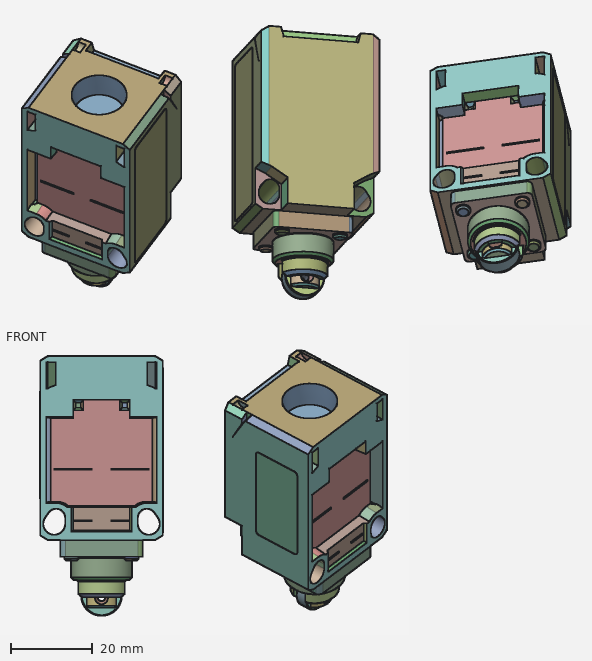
import cadquery as cq
import math


WIDTH = 30.0
DEPTH = 27.0
HEIGHT = 45.0
CORNER_RUN = 1.9
CORNER_RISE = 1.15
REAR_CHAMFER_X = 1.8
REAR_CHAMFER_Y = 0.5

PLATE_THICKNESS = 0.1
PLATE_RADIUS = 1.0
LEFT_PLATE = (3.4, 16.6, 10.2, 36.2)
RIGHT_PLATE = (2.5, 18.7, 1.9, 42.0)

RECESS_DEPTH = 3.2
RECESS_HALF_WIDTH = 13.45
RECESS_TOP = 30.2
RECESS_DRAFT = 7.0
FLOOR_GROOVE_RADIUS = 1.0
CHANNEL_HALF_WIDTH = 8.33
CHANNEL_BOTTOM = 8.0
TAB_HALF_WIDTH = 6.95
TAB_TOP = 34.25
DETENT_SIZE = 2.55
DETENT_DEPTH = 1.0
DETENT_DRAFT = 35.0

PANEL_HALF_WIDTH = 7.35
PANEL_BOTTOM = 2.0
PANEL_DEPTH = 0.7
PANEL_DRAFT = 33.0

GROOVE_WIDTH = 0.25
GROOVE_DEPTH = 0.2
GROOVE_INNER_X = 2.35
RECESS_GROOVE_OUTER_X = 11.5
RECESS_GROOVE_Z = 17.3
PANEL_GROOVE_OUTER_X = 6.8
PANEL_GROOVE_Z = 4.75

HOLE_INNER_X = 8.9
LOWER_HOLE_RADIUS = 2.65
UPPER_HOLE_RADIUS = 2.2
LOWER_HOLE_Z = 4.0
UPPER_HOLE_Z = 5.45
HOLE_BOSS_RADIUS = 4.0
HOLE_BOSS_X = 11.0
HOLE_BOSS_Z = 5.05

RELIEF_FRONT_Y = 21.1
RELIEF_INNER_X = 8.4
RELIEF_BEND_X = 12.5
RELIEF_INNER_Z = 6.6
RELIEF_BEND_Z = 9.1
RELIEF_OUTER_Z = 10.2

WINDOW_INNER_X = 11.2
WINDOW_OUTER_X = RECESS_HALF_WIDTH
WINDOW_TOP = 43.5
WINDOW_INNER_BOTTOM = 37.9
WINDOW_OUTER_BOTTOM = 37.0
LATCH_TOP_Y = 19.5
LATCH_BOTTOM_Y = 24.1
LATCH_BOTTOM_Z = 36.7

NOTCH_REAR_Y = 21.1
NOTCH_BEND_Z = 42.5
NOTCH_INNER_X = WIDTH / 2 - CORNER_RUN

CABLE_Y = 12.05
CABLE_TOP_RADIUS = 6.75
CABLE_BOTTOM_RADIUS = 6.25
CABLE_DEPTH = 6.3
REAR_STEP_HALF_WIDTH = 10.1
REAR_STEP_FLOOR_HALF_WIDTH = 9.45
REAR_STEP_Y = 23.9
REAR_STEP_DEPTH = 2.4
POCKET_INNER_X = 11.0
POCKET_Y = 24.15
POCKET_RADIUS = 1.5

HEAD_Y = 10.5
FLANGE_SIZE_X = 20.2
FLANGE_SIZE_Y = 20.0
FLANGE_THICKNESS = 4.1
FLANGE_RADIUS = 1.2
SCREW_OFFSET = 7.35
SCREW_RADIUS = 1.8
SCREW_HEIGHT = 0.9
SCREW_CHAMFER = 0.5
CAP_RADIUS = 7.5
CAP_BOTTOM = -9.75
CAP_TOP_CHAMFER = 0.35
CAP_BOTTOM_CHAMFER = 0.7
PLUNGER_RADIUS = 6.0
PLUNGER_BOTTOM = -14.0
PLUNGER_CHAMFER = 0.9
COLLAR_RADIUS = 6.25
COLLAR_HEIGHT = 0.4
TIP_RADIUS = 4.1
TIP_BOTTOM = -16.55
TIP_CHAMFER = 0.55

ROLLER_RADIUS = 5.0
ROLLER_WIDTH = 3.4
ROLLER_Z = -13.5
ROLLER_CHAMFER = 0.2
SLOT_WIDTH = 3.7
SLOT_CLEARANCE = 0.2
AXLE_Z = -13.9
AXLE_RADIUS = 0.95
COUNTERSINK_RADIUS = 1.75

SIDES = (-1, 1)


def box(x_range, y_range, z_range):
    """Block between two values along each axis."""
    lengths = [abs(r[1] - r[0]) for r in (x_range, y_range, z_range)]
    middles = tuple((r[0] + r[1]) / 2 for r in (x_range, y_range, z_range))
    return cq.Workplane("XY").box(*lengths).translate(middles)


def front_plane(y=0.0):
    """Plane of X and Z at depth y; extruding by a negative length goes into the housing."""
    return cq.Workplane("XZ", origin=(0, y, 0))


def y_cylinder(radius, y_start, length, x, z):
    return cq.Workplane("XZ", origin=(x, y_start, z)).circle(radius).extrude(-length)


def housing_block():
    """Block with cut corners and bevelled rear vertical edges."""
    half = WIDTH / 2
    outline = [
        (-half + CORNER_RUN, 0), (half - CORNER_RUN, 0),
        (half, CORNER_RISE), (half, HEIGHT - CORNER_RISE),
        (half - CORNER_RUN, HEIGHT), (-half + CORNER_RUN, HEIGHT),
        (-half, HEIGHT - CORNER_RISE), (-half, CORNER_RISE),
    ]
    block = front_plane().polyline(outline).close().extrude(-DEPTH)
    for side in SIDES:
        bevel = [
            (side * half, DEPTH),
            (side * half, DEPTH - REAR_CHAMFER_Y),
            (side * (half - REAR_CHAMFER_X), DEPTH),
        ]
        block = block.cut(cq.Workplane("XY").polyline(bevel).close().extrude(HEIGHT))
    return block


def side_plate(side, y_min, y_max, z_min, z_max):
    """Thin plate with rounded corners, raised on one side face."""
    face = side * WIDTH / 2
    plate = box((face, face + side * PLATE_THICKNESS), (y_min, y_max), (z_min, z_max))
    return plate.edges("|X").fillet(PLATE_RADIUS)


def front_recess():
    """Recess with drafted upper and lower walls, upright sides, and a straight tab on top."""
    wide = WIDTH / 2
    step_x = CHANNEL_HALF_WIDTH
    boss_top = HOLE_BOSS_Z + HOLE_BOSS_RADIUS
    arc_end_z = HOLE_BOSS_Z + math.sqrt(HOLE_BOSS_RADIUS**2 - (HOLE_BOSS_X - step_x)**2)
    mid_angle = math.atan2(arc_end_z - HOLE_BOSS_Z, HOLE_BOSS_X - step_x) / 2 + math.pi / 4
    mid_x = HOLE_BOSS_X - HOLE_BOSS_RADIUS * math.cos(mid_angle)
    mid_z = HOLE_BOSS_Z + HOLE_BOSS_RADIUS * math.sin(mid_angle)
    walls = (
        front_plane()
        .moveTo(-wide, RECESS_TOP)
        .lineTo(-wide, boss_top)
        .lineTo(-HOLE_BOSS_X, boss_top)
        .threePointArc((-mid_x, mid_z), (-step_x, arc_end_z))
        .lineTo(-step_x, CHANNEL_BOTTOM)
        .lineTo(step_x, CHANNEL_BOTTOM)
        .lineTo(step_x, arc_end_z)
        .threePointArc((mid_x, mid_z), (HOLE_BOSS_X, boss_top))
        .lineTo(wide, boss_top)
        .lineTo(wide, RECESS_TOP)
        .close()
        .extrude(-RECESS_DEPTH, taper=RECESS_DRAFT)
    )
    sides = box((-RECESS_HALF_WIDTH, RECESS_HALF_WIDTH), (0, RECESS_DEPTH), (0, HEIGHT))
    tab_bottom = (RECESS_TOP + CHANNEL_BOTTOM) / 2
    tab = box((-TAB_HALF_WIDTH, TAB_HALF_WIDTH), (0, RECESS_DEPTH), (tab_bottom, TAB_TOP))
    return walls.intersect(sides).union(tab)


def floor_groove(side):
    """Quarter-round groove in the recess floor along a side wall."""
    bottom = HOLE_BOSS_Z + HOLE_BOSS_RADIUS
    centre_x = side * RECESS_HALF_WIDTH
    rod = (
        cq.Workplane("XY", origin=(centre_x, RECESS_DEPTH, bottom))
        .circle(FLOOR_GROOVE_RADIUS)
        .extrude(RECESS_TOP - bottom)
    )
    return rod.intersect(box((0, centre_x), (0, DEPTH), (0, HEIGHT)))


def detent_pocket(side):
    """Tapered square pocket in an upper corner of the tab floor."""
    centre = (side * (TAB_HALF_WIDTH - DETENT_SIZE / 2), TAB_TOP - DETENT_SIZE / 2)
    return (
        front_plane(RECESS_DEPTH)
        .center(*centre)
        .rect(DETENT_SIZE, DETENT_SIZE)
        .extrude(-DETENT_DEPTH, taper=DETENT_DRAFT)
    )


def lower_panel():
    """Shallow bevelled panel that opens upward into the recess."""
    panel_top = RECESS_TOP / 2
    return (
        front_plane()
        .center(0, (PANEL_BOTTOM + panel_top) / 2)
        .rect(2 * PANEL_HALF_WIDTH, panel_top - PANEL_BOTTOM)
        .extrude(-PANEL_DEPTH, taper=PANEL_DRAFT)
    )


def groove(side, outer_x, z, floor_y):
    return box(
        (side * GROOVE_INNER_X, side * outer_x),
        (floor_y, floor_y + GROOVE_DEPTH),
        (z - GROOVE_WIDTH / 2, z + GROOVE_WIDTH / 2),
    )


def mounting_hole(side):
    """Hole bounded by two circles and their common tangents, right through the housing."""
    lower_x = HOLE_INNER_X + LOWER_HOLE_RADIUS
    upper_x = HOLE_INNER_X + UPPER_HOLE_RADIUS
    lean = math.atan2(UPPER_HOLE_Z - LOWER_HOLE_Z, lower_x - upper_x)
    outer = math.pi - 2 * lean

    def point(x, z, radius, angle):
        return (side * (x + radius * math.cos(angle)), z + radius * math.sin(angle))

    lower = (lower_x, LOWER_HOLE_Z, LOWER_HOLE_RADIUS)
    upper = (upper_x, UPPER_HOLE_Z, UPPER_HOLE_RADIUS)
    return (
        front_plane()
        .moveTo(*point(*upper, math.pi))
        .lineTo(*point(*lower, math.pi))
        .threePointArc(point(*lower, (outer - math.pi) / 2), point(*lower, outer))
        .lineTo(*point(*upper, outer))
        .threePointArc(point(*upper, (outer + math.pi) / 2), point(*upper, math.pi))
        .close()
        .extrude(-DEPTH)
    )


def rear_relief(side):
    """Lower rear corner removed behind a mounting hole, under a sloping ceiling."""
    outline = [
        (side * WIDTH / 2, 0),
        (side * WIDTH / 2, RELIEF_OUTER_Z),
        (side * RELIEF_BEND_X, RELIEF_BEND_Z),
        (side * RELIEF_INNER_X, RELIEF_INNER_Z),
        (side * RELIEF_INNER_X, 0),
    ]
    return front_plane(RELIEF_FRONT_Y).polyline(outline).close().extrude(RELIEF_FRONT_Y - DEPTH)


def latch_window(side):
    """Window in the front that runs back to the sloping latch plane."""
    outline = [
        (side * WINDOW_INNER_X, WINDOW_TOP),
        (side * WINDOW_OUTER_X, WINDOW_TOP),
        (side * WINDOW_OUTER_X, WINDOW_OUTER_BOTTOM),
        (side * WINDOW_INNER_X, WINDOW_INNER_BOTTOM),
    ]
    opening = front_plane().polyline(outline).close().extrude(-DEPTH)
    in_front = [
        (0, LATCH_BOTTOM_Z), (LATCH_BOTTOM_Y, LATCH_BOTTOM_Z), (LATCH_TOP_Y, HEIGHT), (0, HEIGHT),
    ]
    limit = cq.Workplane("YZ").polyline(in_front).close().extrude(WIDTH / 2, both=True)
    return opening.intersect(limit)


def wedge_notch(side):
    """Narrow wedge along the latch plane, open to the side and to the top."""
    outline = [
        (LATCH_TOP_Y, HEIGHT),
        (NOTCH_REAR_Y, HEIGHT),
        (NOTCH_REAR_Y, NOTCH_BEND_Z),
        (LATCH_BOTTOM_Y, LATCH_BOTTOM_Z),
    ]
    start = cq.Workplane("YZ", origin=(side * NOTCH_INNER_X, 0, 0))
    return start.polyline(outline).close().extrude(side * CORNER_RUN)


def cable_entry():
    """Conical blind hole in the top."""
    outline = [(0, 0), (CABLE_TOP_RADIUS, 0), (CABLE_BOTTOM_RADIUS, -CABLE_DEPTH), (0, -CABLE_DEPTH)]
    profile = cq.Workplane("XZ").polyline(outline).close()
    return profile.revolve(360, (0, 0), (0, 1)).translate((0, CABLE_Y, HEIGHT))


def rear_step():
    """Step in the rear top edge with inclined ends."""
    floor = HEIGHT - REAR_STEP_DEPTH
    outline = [
        (-REAR_STEP_HALF_WIDTH, HEIGHT), (REAR_STEP_HALF_WIDTH, HEIGHT),
        (REAR_STEP_FLOOR_HALF_WIDTH, floor), (-REAR_STEP_FLOOR_HALF_WIDTH, floor),
    ]
    return front_plane(REAR_STEP_Y).polyline(outline).close().extrude(REAR_STEP_Y - DEPTH)


def top_pocket(side):
    """Round-bottomed pocket in a rear top corner."""
    start = cq.Workplane("YZ", origin=(side * POCKET_INNER_X, POCKET_Y, HEIGHT))
    return start.circle(POCKET_RADIUS).extrude(side * (NOTCH_INNER_X - POCKET_INNER_X))


def make_housing():
    body = housing_block()
    body = body.union(side_plate(-1, *LEFT_PLATE)).union(side_plate(1, *RIGHT_PLATE))
    body = body.cut(front_recess()).cut(lower_panel()).cut(cable_entry()).cut(rear_step())
    for side in SIDES:
        body = body.cut(detent_pocket(side)).cut(floor_groove(side))
        body = body.cut(groove(side, RECESS_GROOVE_OUTER_X, RECESS_GROOVE_Z, RECESS_DEPTH))
        body = body.cut(groove(side, PANEL_GROOVE_OUTER_X, PANEL_GROOVE_Z, PANEL_DEPTH))
        body = body.cut(mounting_hole(side)).cut(rear_relief(side))
        body = body.cut(latch_window(side)).cut(wedge_notch(side)).cut(top_pocket(side))
    return body


def head_disc(radius, z_top, z_bottom):
    """Cylinder on the head axis."""
    return cq.Workplane("XY", origin=(0, HEAD_Y, z_bottom)).circle(radius).extrude(z_top - z_bottom)


def head_flange():
    """Square flange with a screw head at each corner."""
    flange = (
        cq.Workplane("XY", origin=(0, HEAD_Y, 0))
        .rect(FLANGE_SIZE_X, FLANGE_SIZE_Y)
        .extrude(-FLANGE_THICKNESS)
        .edges("|Z")
        .fillet(FLANGE_RADIUS)
    )
    screws = (
        cq.Workplane("XY", origin=(0, HEAD_Y, -FLANGE_THICKNESS))
        .rect(2 * SCREW_OFFSET, 2 * SCREW_OFFSET, forConstruction=True)
        .vertices()
        .circle(SCREW_RADIUS)
        .extrude(-SCREW_HEIGHT)
        .faces("<Z")
        .chamfer(SCREW_CHAMFER)
    )
    return flange.union(screws)


def roller_slot():
    """Slot across the plunger, ending in a round pocket inside the cap."""
    y_range = (HEAD_Y - SLOT_WIDTH / 2, HEAD_Y + SLOT_WIDTH / 2)
    slot = box((-CAP_RADIUS, CAP_RADIUS), y_range, (TIP_BOTTOM, CAP_BOTTOM))
    pocket = y_cylinder(ROLLER_RADIUS + SLOT_CLEARANCE, y_range[0], SLOT_WIDTH, 0, ROLLER_Z)
    return slot.union(pocket)


def axle_hole():
    """Hole through the plunger tip, countersunk from both ends to the slot."""
    outer = TIP_RADIUS
    inner = SLOT_WIDTH / 2
    outline = [
        (0, -outer), (COUNTERSINK_RADIUS, -outer), (AXLE_RADIUS, -inner),
        (AXLE_RADIUS, inner), (COUNTERSINK_RADIUS, outer), (0, outer),
    ]
    profile = cq.Workplane("XY").polyline(outline).close()
    return profile.revolve(360, (0, 0), (0, 1)).translate((0, HEAD_Y, AXLE_Z))


def make_head():
    cap = head_disc(CAP_RADIUS, -FLANGE_THICKNESS, CAP_BOTTOM)
    cap = cap.faces(">Z").chamfer(CAP_TOP_CHAMFER).faces("<Z").chamfer(CAP_BOTTOM_CHAMFER)
    collar = head_disc(COLLAR_RADIUS, CAP_BOTTOM, CAP_BOTTOM - COLLAR_HEIGHT)
    collar = collar.faces("<Z").chamfer(COLLAR_RADIUS - PLUNGER_RADIUS)
    plunger = head_disc(PLUNGER_RADIUS, CAP_BOTTOM, PLUNGER_BOTTOM).faces("<Z").chamfer(PLUNGER_CHAMFER)
    tip = head_disc(TIP_RADIUS, PLUNGER_BOTTOM, TIP_BOTTOM).faces("<Z").chamfer(TIP_CHAMFER)
    body = head_flange().union(cap).union(collar).union(plunger).union(tip)
    return body.cut(roller_slot()).cut(axle_hole())


def make_roller():
    start = HEAD_Y - ROLLER_WIDTH / 2
    disc = y_cylinder(ROLLER_RADIUS, start, ROLLER_WIDTH, 0, ROLLER_Z)
    disc = disc.faces("<Y or >Y").chamfer(ROLLER_CHAMFER)
    return disc.cut(y_cylinder(AXLE_RADIUS, start, ROLLER_WIDTH, 0, AXLE_Z))


housing = make_housing()
head = make_head()
roller = make_roller()

result = cq.Compound.makeCompound([housing.val(), head.val(), roller.val()])